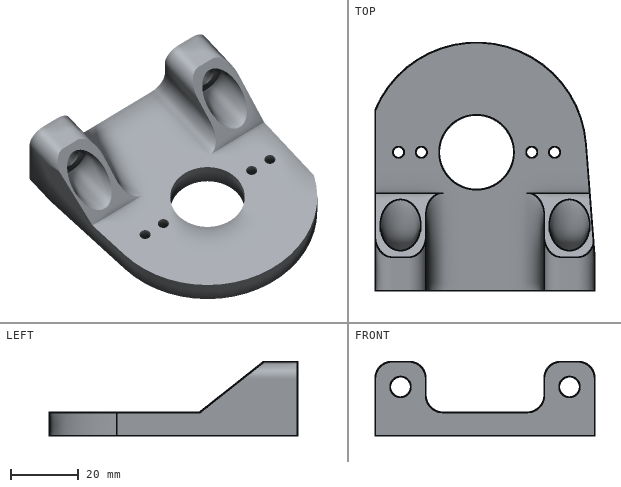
import cadquery as cq
import math

length = 73.5
width = 65.0
height = 22.0
plate_thickness = 7.0
end_radius = 32.5
left_x = -30.0
right_x = left_x + width
front_y = end_radius - length

ear_width = 15.0
ear_flat_length = 10.0
ear_slope_length = 18.95
ear_fillet = 5.0
ear_flat_end_y = front_y + ear_flat_length
ear_slope_end_y = ear_flat_end_y + ear_slope_length
ear_centers_x = (left_x + ear_width / 2, right_x - ear_width / 2)

bore_diameter = 22.05
small_hole_diameter = 3.2
small_hole_offsets = (16.3, 23.1)
ear_hole_diameter = 6.0
ear_counterbore_diameter = 12.0
ear_hole_z = 14.5


def make_plan():
    """Rounded plate outline with a right side that tapers tangent to the round end."""
    corner_distance = math.hypot(right_x, ear_flat_end_y)
    corner_angle = math.atan2(ear_flat_end_y, right_x)
    tangent_angle = corner_angle + math.acos(end_radius / corner_distance)
    tangent_point = (
        end_radius * math.cos(tangent_angle),
        end_radius * math.sin(tangent_angle),
    )
    arc_end_y = math.sqrt(end_radius**2 - left_x**2)
    return (
        cq.Workplane("XY")
        .moveTo(left_x, front_y)
        .lineTo(right_x, front_y)
        .lineTo(right_x, ear_flat_end_y)
        .lineTo(*tangent_point)
        .threePointArc((0, end_radius), (left_x, arc_end_y))
        .close()
        .extrude(height)
    )


def make_profile():
    """Constant front section: a floor between two ears with rounded corners."""
    section = (
        cq.Workplane("XZ", origin=(0, front_y, 0))
        .moveTo(left_x, 0)
        .lineTo(right_x, 0)
        .lineTo(right_x, height)
        .lineTo(right_x - ear_width, height)
        .lineTo(right_x - ear_width, plate_thickness)
        .lineTo(left_x + ear_width, plate_thickness)
        .lineTo(left_x + ear_width, height)
        .lineTo(left_x, height)
        .close()
        .extrude(-length)
    )
    return section.edges("|Y and (not <Z)").fillet(ear_fillet)


def make_side_envelope():
    """Side silhouette: ears slope down to the flat plate."""
    return (
        cq.Workplane("YZ", origin=(left_x, 0, 0))
        .moveTo(front_y, 0)
        .lineTo(end_radius, 0)
        .lineTo(end_radius, plate_thickness)
        .lineTo(ear_slope_end_y, plate_thickness)
        .lineTo(ear_flat_end_y, height)
        .lineTo(front_y, height)
        .close()
        .extrude(width)
    )


def make_plate_holes():
    """Main bore with two small holes on each side of it."""
    small_hole_points = [(side * offset, 0) for side in (-1, 1) for offset in small_hole_offsets]
    bore = cq.Workplane("XY").circle(bore_diameter / 2).extrude(height)
    small_holes = (
        cq.Workplane("XY")
        .pushPoints(small_hole_points)
        .circle(small_hole_diameter / 2)
        .extrude(height)
    )
    return bore.union(small_holes)


def make_ear_cylinders(diameter, start_y):
    """Cylinders along Y through both ears, from start_y to the foot of the slope."""
    return (
        cq.Workplane("XZ", origin=(0, start_y, 0))
        .pushPoints([(x, ear_hole_z) for x in ear_centers_x])
        .circle(diameter / 2)
        .extrude(start_y - ear_slope_end_y)
    )


body = make_profile().intersect(make_plan()).intersect(make_side_envelope())
body = body.cut(make_plate_holes())
body = body.cut(make_ear_cylinders(ear_hole_diameter, front_y))
result = body.cut(make_ear_cylinders(ear_counterbore_diameter, ear_flat_end_y))